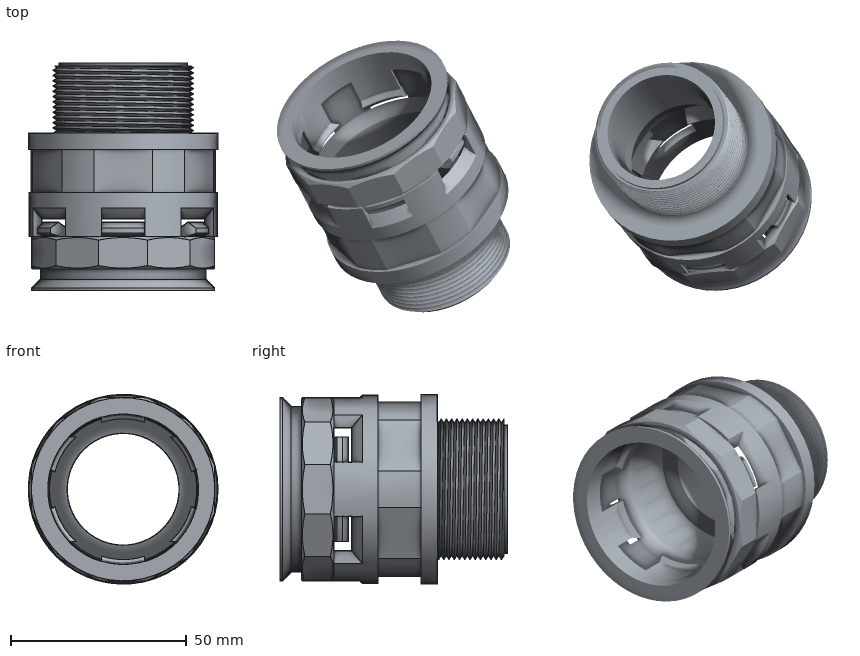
import cadquery as cq
import math

LENGTH = 64.8

RIM_WIDTH = 0.8
RIM_RADIUS = 26.05
FLARE_END = 3.25
SLEEVE_RADIUS = 23.6
MOUTH_RADIUS = 21.4
HOOK_START = 14.6
HOOK_CREST = 15.75
HOOK_CREST_WIDTH = 0.4
HOOK_CREST_RADIUS = 20.0
GAP_START = 6.95
FINGER_RADIUS = 22.55
CATCH_FOOT = 15.05
CATCH_RADIUS = 25.55
CATCH_START = 16.35
CATCH_END = 17.75
FINGER_TIP = 19.5
FINGER_TIP_RADIUS = 23.7
TOP_FINGER_HALF_WIDTH = 6.1
SIDE_FINGER_TOP = 14.9
SIDE_FINGER_OFFSET = 5.45

COLLAR_START = 6.15
COLLAR_SIDES = 12
COLLAR_APOTHEM = 26.05
COLLAR_FACE_RADIUS = 25.75
COLLAR_CHAMFER_DEPTH = 1.0
COLLAR_MOUTH_CHAMFER = 0.85
CAGE_START = 15.35
CAGE_RADIUS = 26.8
HEX_START = 27.9
HEX_SIDES = 6
HEX_APOTHEM = 24.9
HEX_CORNER_RADIUS = 26.25
FLANGE_START = 40.1
FLANGE_RADIUS = 27.0
THREAD_START = 44.8
THREAD_END = 63.85
THREAD_RADIUS = 19.95
THREAD_ROOT_RADIUS = 18.8
THREAD_PITCH = 1.5
THREAD_START_ANGLE = 180.0
FLANK_STEPS = 6
SPIGOT_RADIUS = 18.3
SOCKET_RADIUS = 24.0
SOCKET_END = 20.4
CONDUIT_RADIUS = 21.5
CONDUIT_SEAT_RADIUS = 20.95
CONDUIT_TAPER_END = 24.0
CONDUIT_SEAT = FLANGE_START
BORE_RADIUS = 15.9

FOOT_ANGLE = 30.0

WINDOW_OUTER_END = 23.45
TOP_WINDOW_HALF_WIDTH = 6.15
SIDE_WINDOW_X = 16.45
SIDE_WINDOW_OFFSET = TOP_WINDOW_HALF_WIDTH

REACH = 32.4


def revolve_profile(points):
    """Turn a (radius, station) outline about the Y axis."""
    return cq.Workplane("XY").polyline(points).close().revolve(360, (0, 0, 0), (0, 1, 0))


def disc(radius, start, end):
    return cq.Workplane("XZ", origin=(0, start, 0)).circle(radius).extrude(start - end)


def prism(sides, apothem, start, end):
    """Regular prism along Y with one flat facing +Z."""
    corner_diameter = 2 * apothem / math.cos(math.pi / sides)
    outline = cq.Workplane("XZ", origin=(0, start, 0)).transformed(rotate=(0, 0, 180 / sides + 90))
    return outline.polygon(sides, corner_diameter).extrude(start - end)


def slab(x_range, z_range, start, end):
    """Box along Y over the given X and Z ranges."""
    size = (x_range[1] - x_range[0], end - start, z_range[1] - z_range[0])
    return cq.Workplane("XY").box(*size, centered=False).translate((x_range[0], start, z_range[0]))


def in_four_quadrants(shape):
    upper = shape.union(shape.mirror("YZ"))
    return upper.union(upper.mirror("XY"))


def above_foot(offset, start, end):
    """Wedge in the +X +Z quadrant above a foot that rises outward, its plane offset below the axis."""
    angle = math.radians(FOOT_ANGLE)
    foot_x = offset / math.sin(angle)
    foot_rise = (REACH - foot_x) * math.tan(angle)
    outline = cq.Workplane("XZ", origin=(0, start, 0)).polyline([
        (foot_x, 0),
        (REACH, foot_rise),
        (REACH, REACH),
        (0, REACH),
        (0, 0),
    ])
    return outline.close().extrude(start - end)


def make_collar():
    corner_radius = COLLAR_APOTHEM / math.cos(math.pi / COLLAR_SIDES)
    chamfered_blank = revolve_profile([
        (0, COLLAR_START),
        (COLLAR_FACE_RADIUS, COLLAR_START),
        (corner_radius, COLLAR_START + COLLAR_CHAMFER_DEPTH),
        (corner_radius, CAGE_START - COLLAR_CHAMFER_DEPTH),
        (COLLAR_FACE_RADIUS, CAGE_START),
        (0, CAGE_START),
    ])
    return prism(COLLAR_SIDES, COLLAR_APOTHEM, COLLAR_START, CAGE_START).intersect(chamfered_blank)


def make_hex_body():
    rounding = disc(HEX_CORNER_RADIUS, HEX_START, FLANGE_START)
    return prism(HEX_SIDES, HEX_APOTHEM, HEX_START, FLANGE_START).intersect(rounding)


def make_thread():
    """Left-hand V thread: a section with one crest and one root, twisted along its axis."""
    depth = THREAD_RADIUS - THREAD_ROOT_RADIUS
    flank = []
    for step in range(FLANK_STEPS + 1):
        fraction = step / FLANK_STEPS
        radius = THREAD_RADIUS - depth * fraction
        angle = math.pi * fraction
        flank.append((radius * math.cos(angle), radius * math.sin(angle)))
    mirrored_flank = [(x, -y) for x, y in reversed(flank)]
    length = THREAD_END - THREAD_START
    rod = (
        cq.Workplane("XY")
        .moveTo(*flank[0])
        .spline(flank[1:], includeCurrent=True)
        .spline(mirrored_flank[1:], includeCurrent=True)
        .close()
        .twistExtrude(length, -360 * length / THREAD_PITCH)
    )
    rod = rod.rotate((0, 0, 0), (0, 0, 1), THREAD_START_ANGLE)
    return rod.rotate((0, 0, 0), (1, 0, 0), -90).translate((0, THREAD_START, 0))


def make_windows():
    """Axis-aligned window openings whose rear walls slope outward."""
    slope = (WINDOW_OUTER_END - SOCKET_END) / (CAGE_RADIUS - SOCKET_RADIUS)
    reach_end = SOCKET_END + slope * (REACH - SOCKET_RADIUS)
    inner_radius = SLEEVE_RADIUS
    inner_end = SOCKET_END - slope * (SOCKET_RADIUS - inner_radius)
    window_ring = revolve_profile([
        (inner_radius, CAGE_START),
        (REACH, CAGE_START),
        (REACH, reach_end),
        (inner_radius, inner_end),
    ])
    top_half = TOP_WINDOW_HALF_WIDTH
    top_and_bottom = slab((-top_half, top_half), (-REACH, REACH), CAGE_START, reach_end)
    outboard = slab((SIDE_WINDOW_X, REACH), (0, REACH), CAGE_START, reach_end)
    side = above_foot(SIDE_WINDOW_OFFSET, CAGE_START, reach_end).intersect(outboard)
    return window_ring.intersect(top_and_bottom.union(in_four_quadrants(side)))


def make_housing_bore():
    return revolve_profile([
        (0, COLLAR_START),
        (SOCKET_RADIUS + COLLAR_MOUTH_CHAMFER, COLLAR_START),
        (SOCKET_RADIUS, COLLAR_START + COLLAR_MOUTH_CHAMFER),
        (SOCKET_RADIUS, SOCKET_END),
        (CONDUIT_RADIUS, CONDUIT_TAPER_END),
        (CONDUIT_SEAT_RADIUS, CONDUIT_SEAT),
        (BORE_RADIUS, CONDUIT_SEAT),
        (BORE_RADIUS, LENGTH),
        (0, LENGTH),
    ])


def make_housing():
    outside = (
        make_collar()
        .union(disc(CAGE_RADIUS, CAGE_START, HEX_START))
        .union(make_hex_body())
        .union(disc(FLANGE_RADIUS, FLANGE_START, THREAD_START))
        .union(make_thread())
        .union(disc(SPIGOT_RADIUS, THREAD_START, LENGTH))
    )
    return outside.cut(make_housing_bore()).cut(make_windows())


def make_finger_zone():
    """Six sectors that keep the fingers: top, bottom and two on each side."""
    top_half = TOP_FINGER_HALF_WIDTH
    top_and_bottom = slab((-top_half, top_half), (-REACH, REACH), GAP_START, FINGER_TIP)
    below_top = slab((0, REACH), (0, SIDE_FINGER_TOP), GAP_START, FINGER_TIP)
    side = above_foot(SIDE_FINGER_OFFSET, GAP_START, FINGER_TIP).intersect(below_top)
    return top_and_bottom.union(in_four_quadrants(side))


def make_sleeve():
    full = revolve_profile([
        (MOUTH_RADIUS, 0),
        (RIM_RADIUS, 0),
        (RIM_RADIUS, RIM_WIDTH),
        (SLEEVE_RADIUS, FLARE_END),
        (SLEEVE_RADIUS, GAP_START),
        (FINGER_RADIUS, GAP_START),
        (FINGER_RADIUS, CATCH_FOOT),
        (CATCH_RADIUS, CATCH_START),
        (CATCH_RADIUS, CATCH_END),
        (FINGER_TIP_RADIUS, FINGER_TIP),
        (HOOK_CREST_RADIUS, HOOK_CREST + HOOK_CREST_WIDTH),
        (HOOK_CREST_RADIUS, HOOK_CREST),
        (MOUTH_RADIUS, HOOK_START),
    ])
    ring_zone = disc(REACH, 0, GAP_START)
    return full.intersect(ring_zone.union(make_finger_zone()))


housing = make_housing()
sleeve = make_sleeve()
result = cq.Compound.makeCompound([housing.val(), sleeve.val()])